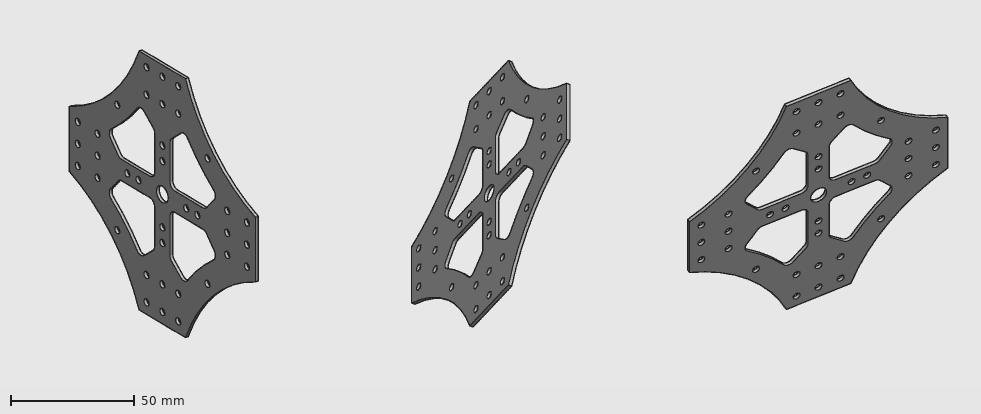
import cadquery as cq
import math

span = 120.0
thickness = 1.5
arm_end_width = 30.0
scoop_center = 89.6

rim_width = 12.5
rib_width = 10.0
window_side = 22.5
window_tip_x = 14.3
window_fillet = 3.0

center_hole_diameter = 7.5
small_hole_diameter = 3.1
arm_hole_rows = (41.8, 54.5)
arm_hole_pitch = 10.2
rib_hole_rows = (15.4, 22.5)
rim_hole_offset = 29.0

half_span = span / 2
half_end = arm_end_width / 2
half_rib = rib_width / 2
scoop_radius = math.hypot(scoop_center - half_end, scoop_center - half_span)
window_radius = scoop_radius + rim_width
quarter_turns = (0, 90, 180, 270)


def four_around(shape):
    """Copies of a shape at every quarter turn about the plate's Y axis."""
    copies = [shape.rotate((0, 0, 0), (0, 1, 0), angle) for angle in quarter_turns]
    body = copies[0]
    for copy in copies[1:]:
        body = body.union(copy)
    return body


def on_diagonal(radius):
    """Point on the plate's diagonal at a given radius from the scoop center."""
    coordinate = scoop_center - radius / math.sqrt(2)
    return (coordinate, coordinate)


def extrude_through(sketch):
    """Extrude a profile symmetrically over the plate thickness."""
    return sketch.extrude(thickness / 2, both=True)


def make_blank():
    blank = extrude_through(cq.Workplane("XZ").rect(span, span))
    scoop = extrude_through(
        cq.Workplane("XZ").center(scoop_center, scoop_center).circle(scoop_radius)
    )
    return blank.cut(four_around(scoop))


def make_window():
    rib_corner = half_rib + window_side
    drop = math.sqrt(window_radius**2 - (scoop_center - window_tip_x) ** 2)
    window_tip_z = scoop_center - drop
    outline = (
        cq.Workplane("XZ")
        .moveTo(half_rib, half_rib)
        .lineTo(half_rib, rib_corner)
        .lineTo(window_tip_x, window_tip_z)
        .threePointArc(on_diagonal(window_radius), (window_tip_z, window_tip_x))
        .lineTo(rib_corner, half_rib)
        .close()
    )
    return extrude_through(outline).edges("|Y").fillet(window_fillet)


def make_small_holes():
    """Holes of one arm, one rib and one corner of the rim."""
    arm_holes = [
        (column * arm_hole_pitch, row) for row in arm_hole_rows for column in (-1, 0, 1)
    ]
    rib_holes = [(0, row) for row in rib_hole_rows]
    rim_holes = [(rim_hole_offset, rim_hole_offset)]
    places = arm_holes + rib_holes + rim_holes
    return extrude_through(
        cq.Workplane("XZ").pushPoints(places).circle(small_hole_diameter / 2)
    )


center_hole = extrude_through(cq.Workplane("XZ").circle(center_hole_diameter / 2))

result = (
    make_blank()
    .cut(four_around(make_window()))
    .cut(four_around(make_small_holes()))
    .cut(center_hole)
)